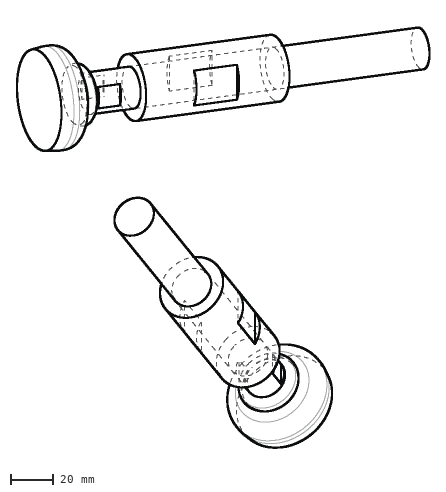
import cadquery as cq

TOTAL_LENGTH = 200.0

SOLE_RADIUS = 24.2
RIM_RADIUS = 25.0
RIM_START = 6.2
RIM_END = 9.2
SHOULDER_MID_RADIUS = 22.8
SHOULDER_MID_HEIGHT = 14.2
SHOULDER_RADIUS = 18.5
SHOULDER_HEIGHT = 16.2
NECK_MID_RADIUS = 16.2
NECK_MID_HEIGHT = 17.2
NECK_RADIUS = 14.2
NECK_HEIGHT = 18.8

COLLAR_EDGE_RADIUS = 14.5
COLLAR_RADIUS = 15.0
COLLAR_START = 19.2
COLLAR_END = 22.8
COLLAR_CROWN_RADIUS = 12.5
COLLAR_CROWN_HEIGHT = 24.5
COLLAR_TOP = 25.5

SPINDLE_RADIUS = 10.0
SPINDLE_FLATS_WIDTH = 17.0
SPINDLE_FLATS_START = 26.5
SPINDLE_FLATS_LENGTH = 11.5

SLEEVE_RADIUS = 16.0
SLEEVE_START = 48.5
SLEEVE_LENGTH = 75.2
SLEEVE_FLATS_WIDTH = 27.0
SLEEVE_FLATS_LENGTH = 22.5


def cut_flats(body, width, start, length, radius):
    """Cut a pair of opposite flats, facing -X and +X, into a round body."""
    depth = radius - width / 2
    for side in (-1, 1):
        cutter = cq.Workplane("XY").box(depth, length, 2 * radius).translate(
            (side * (width + depth) / 2, start + length / 2, 0)
        )
        body = body.cut(cutter)
    return body


def make_spindle():
    """Foot, collar and long round spindle turned in one piece."""
    collar_middle = (COLLAR_START + COLLAR_END) / 2
    profile = (
        cq.Workplane("XY")
        .lineTo(SOLE_RADIUS, 0)
        .lineTo(RIM_RADIUS, RIM_START)
        .lineTo(RIM_RADIUS, RIM_END)
        .threePointArc((SHOULDER_MID_RADIUS, SHOULDER_MID_HEIGHT), (SHOULDER_RADIUS, SHOULDER_HEIGHT))
        .threePointArc((NECK_MID_RADIUS, NECK_MID_HEIGHT), (NECK_RADIUS, NECK_HEIGHT))
        .lineTo(COLLAR_EDGE_RADIUS, COLLAR_START)
        .threePointArc((COLLAR_RADIUS, collar_middle), (COLLAR_EDGE_RADIUS, COLLAR_END))
        .threePointArc((COLLAR_CROWN_RADIUS, COLLAR_CROWN_HEIGHT), (SPINDLE_RADIUS, COLLAR_TOP))
        .lineTo(SPINDLE_RADIUS, TOTAL_LENGTH)
        .lineTo(0, TOTAL_LENGTH)
        .close()
    )
    turned = profile.revolve(360, (0, 0, 0), (0, 1, 0))
    return cut_flats(turned, SPINDLE_FLATS_WIDTH, SPINDLE_FLATS_START, SPINDLE_FLATS_LENGTH, SPINDLE_RADIUS)


def make_sleeve():
    """Round sleeve on the spindle, with flats halfway along it."""
    tube = (
        cq.Workplane("XZ", origin=(0, SLEEVE_START, 0))
        .circle(SLEEVE_RADIUS)
        .circle(SPINDLE_RADIUS)
        .extrude(-SLEEVE_LENGTH)
    )
    flats_start = SLEEVE_START + (SLEEVE_LENGTH - SLEEVE_FLATS_LENGTH) / 2
    return cut_flats(tube, SLEEVE_FLATS_WIDTH, flats_start, SLEEVE_FLATS_LENGTH, SLEEVE_RADIUS)


spindle = make_spindle()
sleeve = make_sleeve()
result = cq.Compound.makeCompound([spindle.val(), sleeve.val()])